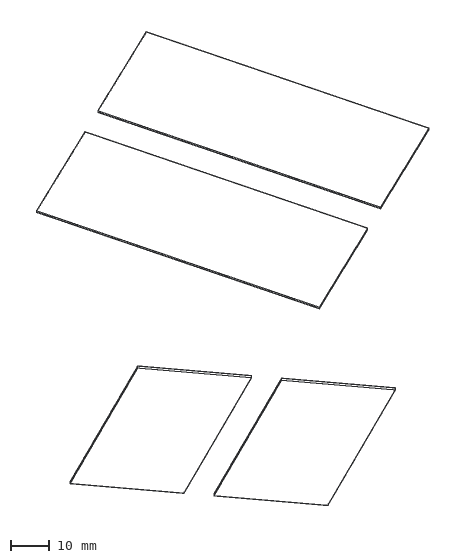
import cadquery as cq

plate_length = 80.0
plate_width = 30.0
plate_thickness = 0.61
overall_width = 67.9

plate_pitch = overall_width - plate_width


def make_plate(center_y):
    """Thin rectangular plate lying on the XY plane, centred at the given Y."""
    return (
        cq.Workplane("XY")
        .center(0, center_y)
        .rect(plate_length, plate_width)
        .extrude(plate_thickness)
    )


plates = [make_plate(side * plate_pitch / 2) for side in (-1, 1)]

result = cq.Compound.makeCompound([plate.val() for plate in plates])